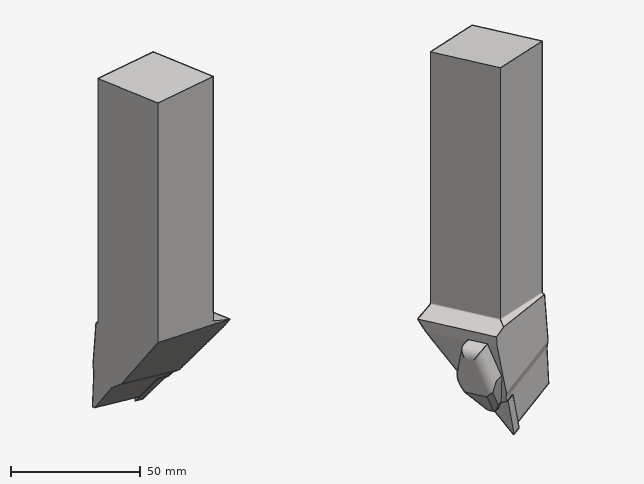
import cadquery as cq
import math

shank_width = 31.7
overall_height = 152.4
shank_bottom = 46.6

head_depth = 41.5
shoulder_round = 0.6
ramp_angle = 16.0
rake_angle = 12.6
clearance_angle = 4.8
seat_drop = 0.6
end_foot_x = 7.3
end_foot_z = 21.0
step_radius = 1.9
margin = 61.0

tip_x = -6.4
tip_z = -0.6
tip_y = 32.0
insert_edge = 16.3
insert_thickness = 4.5
insert_point_angle = 35.4
flank_lean = 2.8
nose_radius = 0.3

clamp_round = 4.3
nose_chamfer = 1.8

rake_slope = math.tan(math.radians(rake_angle))
ramp_slope = math.tan(math.radians(ramp_angle))
rake_normal = cq.Vector(0, math.cos(math.radians(rake_angle)), -math.sin(math.radians(rake_angle)))
sweep = rake_normal + cq.Vector(-math.tan(math.radians(clearance_angle)), 0, 0)
rake_plane = cq.Plane(origin=(0, tip_y, 0), xDir=(1, 0, 0), normal=(-rake_normal).toTuple())


def rake_y(z):
    """Y of the insert rake face at height z."""
    return tip_y + rake_slope * z


def head_y(z):
    """Y of the head rake face at height z."""
    return rake_y(z) + seat_drop / math.cos(math.radians(rake_angle))


def make_sheared_body():
    """Front outline of the holder, swept backwards along the clearance direction."""
    end_slope = 1.27
    flank_slope = 0.083
    flank_x = -0.3
    flank_top = 54.9
    step_z = 27.1
    step_x = flank_x - flank_slope * (flank_top - step_z)
    end_step_x = 12.6
    end_step_z = 24.5
    right = shank_width + margin / 10
    top = overall_height + margin
    outline = (
        cq.Workplane("XZ")
        .moveTo(flank_x, top)
        .lineTo(flank_x, flank_top)
        .lineTo(step_x, step_z)
        .threePointArc((-2.3, 25.6), (-2.1, 24.1))
        .lineTo(-2.9, 9.5)
        .lineTo(-1.5, 9.5)
        .lineTo(end_foot_x, end_foot_z)
        .lineTo(end_step_x, end_step_z)
        .lineTo(right, end_step_z + end_slope * (right - end_step_x))
        .lineTo(right, top)
        .close()
        .wires()
        .val()
    )
    return cq.Workplane(cq.Solid.extrudeLinear(outline, [], sweep * margin))


def make_holder():
    foot = cq.Vector(end_foot_x, 0, end_foot_z) + sweep * (margin / 2)
    foot_edge = cq.selectors.NearestToPointSelector(foot.toTuple())
    body = make_sheared_body().edges(foot_edge).fillet(step_radius)

    ramp_end_z = shank_bottom - ramp_slope * (head_depth - shank_width)
    rake_top_z = (head_depth - head_y(0)) / rake_slope
    side_limit = (
        cq.Workplane("YZ")
        .polyline([
            (0, overall_height),
            (shank_width, overall_height),
            (shank_width, shank_bottom),
            (head_depth, ramp_end_z),
            (head_depth, rake_top_z),
            (head_y(-margin), -margin),
            (0, -margin),
        ])
        .close()
        .extrude(margin, both=True)
        .edges(cq.selectors.NearestToPointSelector((0, shank_width, shank_bottom)))
        .fillet(shoulder_round)
    )
    left = -margin / 4
    front_limit = (
        cq.Workplane("XZ")
        .polyline([
            (0, overall_height),
            (shank_width, overall_height),
            (shank_width, -margin),
            (left, -margin),
            (left, shank_bottom + ramp_slope * left),
            (0, shank_bottom),
        ])
        .close()
        .extrude(-margin)
        .edges(cq.selectors.NearestToPointSelector((0, margin / 2, shank_bottom)))
        .fillet(shoulder_round)
    )
    return body.intersect(side_limit).intersect(front_limit)


def make_insert(rise):
    """Wedge with its rake face raised by rise."""
    flank = math.radians(flank_lean)
    end = math.radians(flank_lean + insert_point_angle)
    face = (
        cq.Workplane(rake_plane)
        .polyline([
            (tip_x, tip_z),
            (tip_x + insert_edge * math.sin(end), tip_z + insert_edge * math.cos(end)),
            (tip_x + insert_edge * math.sin(flank), tip_z + insert_edge * math.cos(flank)),
        ])
        .close()
        .wires()
        .val()
        .translate(sweep * rise)
    )
    wedge = cq.Solid.extrudeLinear(face, [], sweep * -(insert_thickness + rise))
    tip_edge = cq.selectors.NearestToPointSelector(
        (cq.Vector(tip_x, rake_y(tip_z), tip_z) + sweep * ((rise - insert_thickness) / 2)).toTuple())
    return cq.Workplane(wedge).edges(tip_edge).fillet(nose_radius)


def make_clamp():
    """Finger standing on the rake face, with a sloping nose above the insert."""
    foot_z = 10.5
    nose_z = 19.5
    nose_y = 45.1
    top_z = 40.8
    side = (
        cq.Workplane("YZ")
        .polyline([
            (rake_y(foot_z), foot_z),
            (37.6, foot_z),
            (nose_y, nose_z),
            (48.8, 37.5),
            (rake_y(top_z), top_z),
        ])
        .close()
        .extrude(margin, both=True)
    )
    outline = (
        cq.Workplane(rake_plane)
        .polyline([(0, 41.1), (8.8, 41.1), (12.5, 29), (0.9, 9.1), (-10.7, 9.1)])
        .close()
        .extrude(margin, both=True)
    )
    finger = outline.intersect(side)
    end_edge = cq.selectors.NearestToPointSelector((3.8, 48.8, 36.5))
    left_edge = cq.selectors.NearestToPointSelector((-3.0, 47.2, 29.0))
    right_edge = cq.selectors.NearestToPointSelector((10.7, 47.7, 32.0))
    finger = finger.edges(end_edge + left_edge + right_edge).fillet(clamp_round)
    facets = (
        cq.Workplane(rake_plane)
        .polyline([(-4.5, 45.7), (-4.5, 26.4), (-2.7, 15.0), (0.3, 9.1), (30.5, 9.1), (30.5, 45.7)])
        .close()
        .extrude(margin, both=True)
    )
    nose_edge = cq.selectors.NearestToPointSelector((-3.4, 43.0, 16.8))
    return finger.intersect(facets).edges(nose_edge).chamfer(nose_chamfer)


pocket_rise = 2 * seat_drop

insert = make_insert(0)
holder = make_holder().cut(make_insert(pocket_rise)).union(make_clamp())
result = cq.Compound.makeCompound([holder.val(), insert.val()])